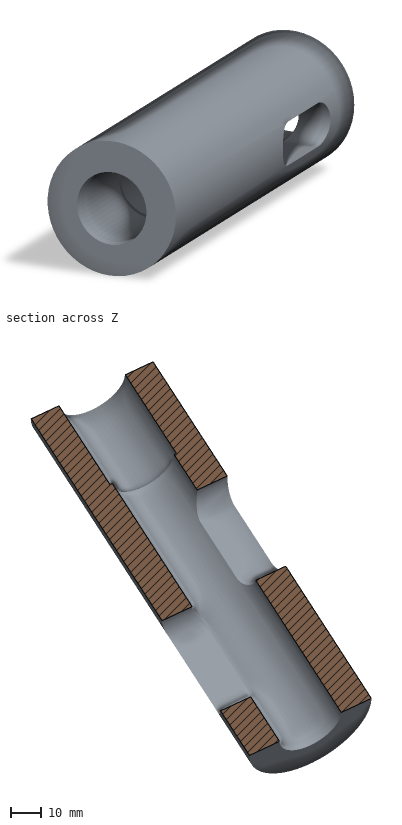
import cadquery as cq

length = 150.0
outer_diameter = 46.25
front_bore_diameter = 25.0
rear_bore_diameter = 23.25
front_bore_depth = 35.0

slot_length = 40.0
slot_width = 15.0
left_slot_center_y = 71.0
right_slot_center_y = 110.0


def cylinder(diameter, depth, start_y=0.0):
    """Solid cylinder on the tube axis, running from start_y towards +Y."""
    plane = cq.Workplane(cq.Plane(origin=(0, start_y, 0), xDir=(1, 0, 0), normal=(0, 1, 0)))
    return plane.circle(diameter / 2).extrude(depth)


def wall_slot(center_y, side):
    """Slot cutter from the tube axis out through one wall; side is -1 for -X, +1 for +X."""
    return (
        cq.Workplane("YZ")
        .center(center_y, 0)
        .slot2D(slot_length, slot_width)
        .extrude(side * outer_diameter / 2)
    )


tube = cylinder(outer_diameter, length)
front_bore = cylinder(front_bore_diameter, front_bore_depth)
rear_bore = cylinder(rear_bore_diameter, length - front_bore_depth, front_bore_depth)

result = (
    tube.cut(front_bore)
    .cut(rear_bore)
    .cut(wall_slot(left_slot_center_y, -1))
    .cut(wall_slot(right_slot_center_y, 1))
)